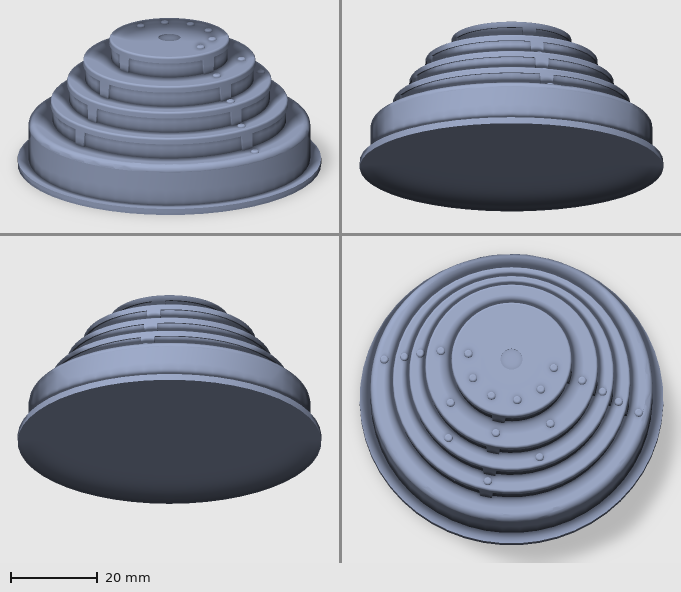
import cadquery as cq
import math

overall_height = 31.5

flange_radius = 35.0
flange_height = 1.5
base_radius = 32.5
base_top = 11.0
base_round = 1.5

stud_radius = 1.0
stud_height = 0.5

tier_radii = (27.5, 23.7, 20.0, 14.0)
tier_height = (overall_height - stud_height - base_top) / len(tier_radii)
tier_draft = 2.0
tier_round = 0.5

rim_height = 1.5
recess_depth = 0.55
recess_height = tier_height - rim_height
rib_count = 4
rib_width_bottom = 2.8
rib_width_top = 3.2

dimple_radius = 2.5
dimple_depth = 0.2

base_studs = (30.0, 2, 180.0)
tier_studs = ((25.3, 3, 90.0), (21.5, 4, 60.0), (16.65, 5, 45.0), (10.0, 6, 35.0))
first_stud_angle = 180.0


def make_base():
    """Flange disc with the round-shouldered drum standing on it."""
    flange = cq.Workplane("XY").circle(flange_radius).extrude(flange_height)
    drum = cq.Workplane("XY").circle(base_radius).extrude(base_top)
    return flange.union(drum.faces(">Z").edges().fillet(base_round))


def make_ribs(radius):
    """Crossed bars, slightly wider at the top, that reach past the tier wall."""
    half_bottom = rib_width_bottom / 2
    half_top = rib_width_top / 2
    profile = [
        (-half_bottom, 0),
        (half_bottom, 0),
        (half_top, recess_height),
        (-half_top, recess_height),
    ]
    bar = cq.Workplane("XZ").polyline(profile).close().extrude(radius + recess_depth)
    ribs = bar
    for index in range(1, rib_count):
        ribs = ribs.union(bar.rotate((0, 0, 0), (0, 0, 1), index * 360 / rib_count))
    return ribs


def make_tier(radius):
    """Drafted disc with a rounded top edge and a ribbed recess below its rim."""
    disc = cq.Workplane("XY").circle(radius).extrude(tier_height, taper=tier_draft)
    disc = disc.faces(">Z").edges().fillet(tier_round)
    recess = (
        cq.Workplane("XY")
        .circle(radius + recess_depth)
        .circle(radius - recess_depth)
        .extrude(recess_height)
    )
    return disc.cut(recess.cut(make_ribs(radius)))


def make_stud():
    """Short round stud with a quarter-round edge and a small flat top."""
    flat_radius = stud_radius - stud_height
    arc_reach = stud_height * math.sqrt(0.5)
    return (
        cq.Workplane("XZ")
        .lineTo(stud_radius, 0)
        .threePointArc((flat_radius + arc_reach, arc_reach), (flat_radius, stud_height))
        .lineTo(0, stud_height)
        .close()
        .revolve(360, (0, 0), (0, 1))
    )


def add_studs(body, level, layout):
    """Place studs clockwise from the -X side on the face at the given level."""
    circle_radius, count, pitch = layout
    stud = make_stud()
    for index in range(count):
        angle = math.radians(first_stud_angle - index * pitch)
        x = circle_radius * math.cos(angle)
        y = circle_radius * math.sin(angle)
        body = body.union(stud.translate((x, y, level)))
    return body


def cut_dimple(body, level):
    """Sink the shallow centre dimple into the face at the given level."""
    dimple = cq.Workplane("XY").circle(dimple_radius).extrude(dimple_depth)
    return body.cut(dimple.translate((0, 0, level - dimple_depth)))


level = base_top
result = add_studs(make_base(), level, base_studs)
for tier_radius, studs in zip(tier_radii, tier_studs):
    result = result.union(make_tier(tier_radius).translate((0, 0, level)))
    level += tier_height
    result = add_studs(result, level, studs)
result = cut_dimple(result, level)